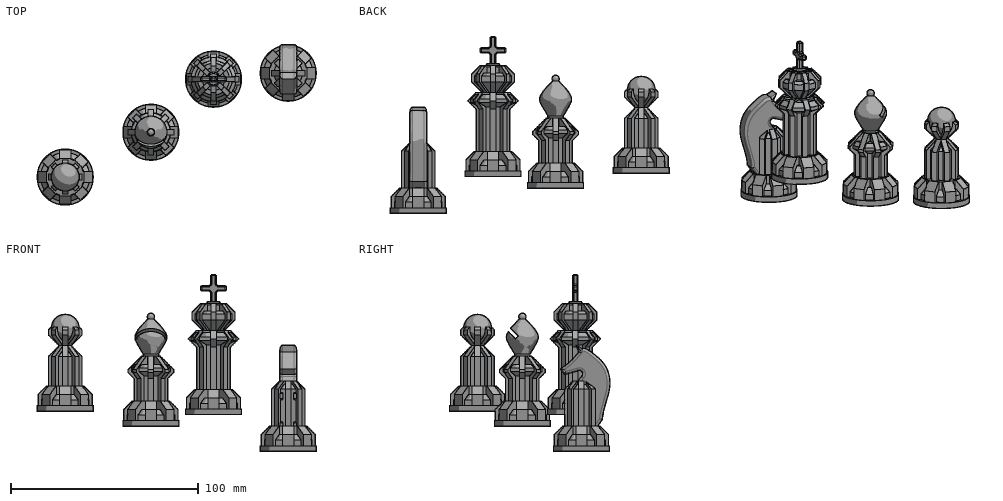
import cadquery as cq
RIB_COUNT = 8
BASE_RADIUS = 15.0
BASE_THICKNESS = 3.0

FOOT_WIDTH = 6.0
FOOT_RADIUS = 14.5
FOOT_SHOULDER_Z = 9.0
FOOT_SLOPE = 4.5
FOOT_TOP_Z = FOOT_SHOULDER_Z + FOOT_SLOPE
FOOT_TOP_RADIUS = FOOT_RADIUS - FOOT_SLOPE

RING_RADIUS = 13.1
RING_EDGE_Z = 6.0
RING_TOP_RADIUS = 10.25

SHAFT_RIB_WIDTH = 3.0
SHAFT_RADIUS = 9.0
CORE_RADIUS = 6.9

PAWN_PLACE = (0, 0, 0)
BISHOP_PLACE = (45.7, 23.9, -8.0)
KING_PLACE = (79.1, 52.2, -1.8)
KNIGHT_PLACE = (118.96, 55.4, -21.4)


def turned(profile):
    """Solid of revolution about Z; profile lists (radius, z) from the axis back to the axis."""
    return cq.Workplane("XZ").polyline(profile).close().revolve(360, (0, 0), (0, 1))


def ribs(profile, width):
    """Flat ribs spread evenly around Z; profile lists the (radius, z) outline of one rib."""
    blade = cq.Workplane("XZ").polyline(profile).close().extrude(width / 2, both=True)
    spread = blade
    for i in range(1, RIB_COUNT):
        spread = spread.union(blade.rotate((0, 0, 0), (0, 0, 1), i * 360 / RIB_COUNT))
    return spread


def foot(neck_z=0):
    """Round base with the ring and foot blocks, and a neck cylinder rising to neck_z if given."""
    base = cq.Workplane("XY").circle(BASE_RADIUS).extrude(BASE_THICKNESS)
    ring = turned([
        (0, 0),
        (RING_RADIUS, 0),
        (RING_RADIUS, RING_EDGE_Z),
        (RING_TOP_RADIUS, FOOT_SHOULDER_Z),
        (0, FOOT_SHOULDER_Z),
    ])
    if neck_z > 0:
        ring = ring.union(cq.Workplane("XY").circle(FOOT_TOP_RADIUS).extrude(neck_z))
    blocks = ribs([
        (0, 0),
        (FOOT_RADIUS, 0),
        (FOOT_RADIUS, FOOT_SHOULDER_Z),
        (FOOT_TOP_RADIUS, FOOT_TOP_Z),
        (0, FOOT_TOP_Z),
    ], FOOT_WIDTH)
    return base.union(ring).union(blocks)


def make_pawn():
    shaft_top = 29.25
    waist_radius = 3.25
    waist_z = shaft_top + SHAFT_RADIUS - waist_radius
    cup_edge_z = waist_z + SHAFT_RADIUS - waist_radius
    cup_side = 2.75
    cup_lip = 1.5
    cup_lip_z = cup_edge_z + cup_side
    cup_top_z = cup_lip_z + cup_lip
    core_tip_radius = 2.0
    core_tip_z = shaft_top + CORE_RADIUS - core_tip_radius
    ball_radius = 7.5
    ball_z = 44.3

    blades = ribs([
        (0, 0),
        (SHAFT_RADIUS, 0),
        (SHAFT_RADIUS, shaft_top),
        (waist_radius, waist_z),
        (SHAFT_RADIUS, cup_edge_z),
        (SHAFT_RADIUS, cup_lip_z),
        (SHAFT_RADIUS - cup_lip, cup_top_z),
        (0, cup_top_z),
    ], SHAFT_RIB_WIDTH)
    core = turned([
        (0, 0),
        (CORE_RADIUS, 0),
        (CORE_RADIUS, shaft_top),
        (core_tip_radius, core_tip_z),
        (0, core_tip_z),
    ])
    ball = cq.Workplane("XY").sphere(ball_radius).translate((0, 0, ball_z))
    return foot(FOOT_TOP_Z).union(core).union(blades).union(ball)


def make_bishop():
    shaft_top = 25.5
    collar_radius = 12.25
    collar_edge_z = shaft_top + collar_radius - SHAFT_RADIUS
    collar_side = 1.5
    neck_rib_radius = 5.0
    neck_z = collar_edge_z + collar_side + collar_radius - neck_rib_radius
    bulge_radius = 10.5
    bulge_bottom_z = 26.9
    bulge_low_z = 29.2
    bulge_high_z = 31.0
    bulge_slope = 2.0
    bulge_top_z = bulge_high_z + bulge_slope
    core_neck_radius = 4.2
    head_z = 38.6
    head_radius = 8.6
    tip = (1.5, 57.4)
    mitre_curve = [(6.3, 42.2), (7.8, 44.8), (head_radius, 47.2), (6.8, 51.6), (4.0, 54.9), tip]
    knob_radius = 2.0
    knob_z = 58.4
    slot_length = 20.0
    slot_depth = 12.0
    slot_width = 2.0
    slot_tilt = -45
    slot_end_y = -2.95
    slot_end_z = 47.4

    blades = ribs([
        (0, 0),
        (SHAFT_RADIUS, 0),
        (SHAFT_RADIUS, shaft_top),
        (collar_radius, collar_edge_z),
        (collar_radius, collar_edge_z + collar_side),
        (neck_rib_radius, neck_z),
        (0, neck_z),
    ], SHAFT_RIB_WIDTH)
    core = turned([
        (0, 0),
        (CORE_RADIUS, 0),
        (CORE_RADIUS, bulge_bottom_z),
        (bulge_radius, bulge_low_z),
        (bulge_radius, bulge_high_z),
        (bulge_radius - bulge_slope, bulge_top_z),
        (core_neck_radius, bulge_top_z),
        (core_neck_radius, head_z),
        (0, head_z),
    ])
    mitre = (
        cq.Workplane("XZ")
        .moveTo(0, head_z)
        .lineTo(core_neck_radius, head_z)
        .spline(mitre_curve, includeCurrent=True)
        .lineTo(0, tip[1])
        .close()
        .revolve(360, (0, 0), (0, 1))
    )
    knob = cq.Workplane("XY").sphere(knob_radius).translate((0, 0, knob_z))

    slot = (
        cq.Workplane("XY")
        .box(slot_length, slot_depth, slot_width)
        .translate((0, -slot_depth / 2, 0))
        .rotate((0, 0, 0), (1, 0, 0), slot_tilt)
        .translate((0, slot_end_y, slot_end_z))
    )
    return foot().union(core).union(blades).union(mitre.cut(slot)).union(knob)


def make_king():
    shaft_top = 36.0
    collar_radius = 13.5
    collar_slope = collar_radius - SHAFT_RADIUS
    collar_z = shaft_top + collar_slope
    collar_top_z = collar_z + collar_slope
    crown_rib_width = 2.5
    crown_radius = 11.5
    crown_low_z = 50.6
    crown_high_z = 54.75
    crown_top_radius = 7.0
    crown_foot_radius = crown_radius - (crown_low_z - collar_top_z)
    crown_top_z = crown_high_z + crown_radius - crown_top_radius

    bulge_bottom_z = 37.2
    bulge_radius = 12.0
    bulge_low_z = 39.5
    bulge_high_z = 41.4
    bulge_slope = 2.5
    bulge_top_z = bulge_high_z + bulge_slope
    bowl_radius = 10.0
    bowl_foot_radius = bowl_radius - (crown_low_z - collar_top_z)
    bowl_high_z = 53.7
    bowl_slope = 1.5
    bowl_top_z = bowl_high_z + bowl_slope
    crown_neck_radius = 6.0
    crown_neck_top_z = 58.5
    disc_radius = 3.75
    disc_edge_z = 59.7
    disc_top_radius = 3.0
    disc_top_z = 60.5

    bar = 3.0
    bar_chamfer = 0.75
    cross_top = 74.91
    upright_length = 16.0
    arm_span = 14.0
    arm_z = 67.4

    blades = ribs([
        (0, 0),
        (SHAFT_RADIUS, 0),
        (SHAFT_RADIUS, shaft_top),
        (collar_radius, collar_z),
        (SHAFT_RADIUS, collar_top_z),
        (0, collar_top_z),
    ], SHAFT_RIB_WIDTH)
    crown_blades = ribs([
        (0, collar_top_z),
        (crown_foot_radius, collar_top_z),
        (crown_radius, crown_low_z),
        (crown_radius, crown_high_z),
        (crown_top_radius, crown_top_z),
        (0, crown_top_z),
    ], crown_rib_width)
    core = turned([
        (0, 0),
        (CORE_RADIUS, 0),
        (CORE_RADIUS, bulge_bottom_z),
        (bulge_radius, bulge_low_z),
        (bulge_radius, bulge_high_z),
        (bulge_radius - bulge_slope, bulge_top_z),
        (bowl_foot_radius, bulge_top_z),
        (bowl_foot_radius, collar_top_z),
        (bowl_radius, crown_low_z),
        (bowl_radius, bowl_high_z),
        (bowl_radius - bowl_slope, bowl_top_z),
        (crown_neck_radius, bowl_top_z),
        (crown_neck_radius, crown_neck_top_z),
        (disc_radius, crown_neck_top_z),
        (disc_radius, disc_edge_z),
        (disc_top_radius, disc_top_z),
        (0, disc_top_z),
    ])
    upright = (
        cq.Workplane("XY")
        .box(bar, bar, upright_length)
        .translate((0, 0, cross_top - upright_length / 2))
    )
    arms = cq.Workplane("XY").box(arm_span, bar, bar).translate((0, 0, arm_z))
    cross = upright.union(arms).edges().chamfer(bar_chamfer)
    return foot().union(core).union(blades).union(crown_blades).union(cross)


def make_knight():
    shaft_top = 33.2
    core_radius = 7.5
    top_radius = 4.6
    top_z = shaft_top + SHAFT_RADIUS - top_radius
    core_top_z = shaft_top + core_radius - top_radius

    blades = ribs([
        (0, 0),
        (SHAFT_RADIUS, 0),
        (SHAFT_RADIUS, shaft_top),
        (top_radius, top_z),
        (0, top_z),
    ], SHAFT_RIB_WIDTH)
    core = turned([
        (0, 0),
        (core_radius, 0),
        (core_radius, shaft_top),
        (top_radius, core_top_z),
        (0, core_top_z),
    ])

    head_width = 9.2
    edge_round = 1.5
    bottom_z = 12.5
    tail_y = 8.0
    forelock_tip = (-3, 56.7)
    forelock_root = (0.3, 54.9)
    mane = [(1, 55), (6.3, 52.3), (12.8, 45.7), (15.27, 35.7), (13.4, 27), (11.6, 20.5), (11.2, 17)]
    chest_y = -7.0
    chest_foot_z = 15.2
    chest_low_z = 28.2
    chest_high_z = 31.0
    hollow = (-4.2, 21.5)
    throat_low = (0, 40)
    throat_middle = (0.2, 42.5)
    throat_high = (-2, 42.9)
    chin = (-9, 41)
    nose = (-11.2, 44)
    forehead = (-5.4, 48.6)
    brow = (-1.4, 53)

    head = (
        cq.Workplane("YZ", origin=(-head_width / 2, 0, 0))
        .moveTo(*forelock_tip)
        .lineTo(*forelock_root)
        .spline(mane, includeCurrent=True)
        .lineTo(tail_y, bottom_z)
        .lineTo(chest_y, bottom_z)
        .lineTo(chest_y, chest_foot_z)
        .lineTo(*hollow)
        .lineTo(chest_y, chest_low_z)
        .lineTo(chest_y, chest_high_z)
        .lineTo(*throat_low)
        .threePointArc(throat_middle, throat_high)
        .lineTo(*chin)
        .lineTo(*nose)
        .spline([forehead, brow], includeCurrent=True)
        .close()
        .extrude(head_width)
        .faces("<X or >X")
        .edges()
        .fillet(edge_round)
    )
    return foot(FOOT_TOP_Z).union(core).union(blades).union(head)


pawn = make_pawn().translate(PAWN_PLACE)
bishop = make_bishop().translate(BISHOP_PLACE)
king = make_king().translate(KING_PLACE)
knight = make_knight().translate(KNIGHT_PLACE)

result = cq.Compound.makeCompound([
    pawn.val(),
    bishop.val(),
    king.val(),
    knight.val(),
])